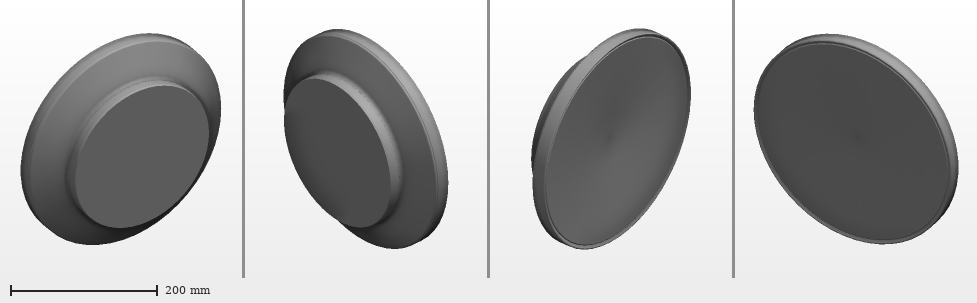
import cadquery as cq
import math

overall_length = 63.0
rim_radius = 315.0 / 2

rim_back = 19.0
rim_chamfer = 1.0
shoulder_radius = rim_radius - rim_chamfer
land_inner_radius = 155.3
groove_radius = 151.8
groove_depth = 2.2
dish_radius = 150.5
dish_edge_depth = 1.3
dish_center_depth = 14.2

cone_slope_angle = math.radians(65)
shoulder_start = rim_back + rim_chamfer
shoulder_round = 2.8
neck_radius = 220.0 / 2
neck_end = 47.5
neck_round = 6.5

mount_radius = 219.5 / 2
mount_chamfer_length = 2.8
mount_chamfer_depth = 1.0


def arc_point(center, radius, angle):
    """Point at an angle measured from the radial direction towards +X."""
    return (center[0] + radius * math.sin(angle), center[1] + radius * math.cos(angle))


def revolve_about_x(profile):
    return profile.close().revolve(360, (0, 0, 0), (1, 0, 0))


def make_head():
    """Dished and grooved disc with a conical back narrowing to the neck."""
    shoulder_center = (shoulder_start, shoulder_radius - shoulder_round)
    neck_center = (neck_end, neck_radius + neck_round)
    half_angle = cone_slope_angle / 2
    profile = (
        cq.Workplane("XY")
        .moveTo(dish_center_depth, 0)
        .lineTo(dish_edge_depth, dish_radius)
        .lineTo(groove_depth, groove_radius)
        .lineTo(0, land_inner_radius)
        .lineTo(0, rim_radius - rim_chamfer)
        .lineTo(rim_chamfer, rim_radius)
        .lineTo(rim_back, rim_radius)
        .lineTo(shoulder_start, shoulder_radius)
        .threePointArc(
            arc_point(shoulder_center, shoulder_round, half_angle),
            arc_point(shoulder_center, shoulder_round, cone_slope_angle),
        )
        .lineTo(*arc_point(neck_center, -neck_round, cone_slope_angle))
        .threePointArc(
            arc_point(neck_center, -neck_round, half_angle),
            (neck_end, neck_radius),
        )
        .lineTo(neck_end, 0)
    )
    return revolve_about_x(profile)


def make_mount():
    """Solid round foot with a chamfered back edge."""
    profile = (
        cq.Workplane("XY")
        .moveTo(neck_end, 0)
        .lineTo(neck_end, mount_radius)
        .lineTo(overall_length - mount_chamfer_length, mount_radius)
        .lineTo(overall_length, mount_radius - mount_chamfer_depth)
        .lineTo(overall_length, 0)
    )
    return revolve_about_x(profile)


head = make_head()
mount = make_mount()
result = cq.Compound.makeCompound([head.val(), mount.val()])